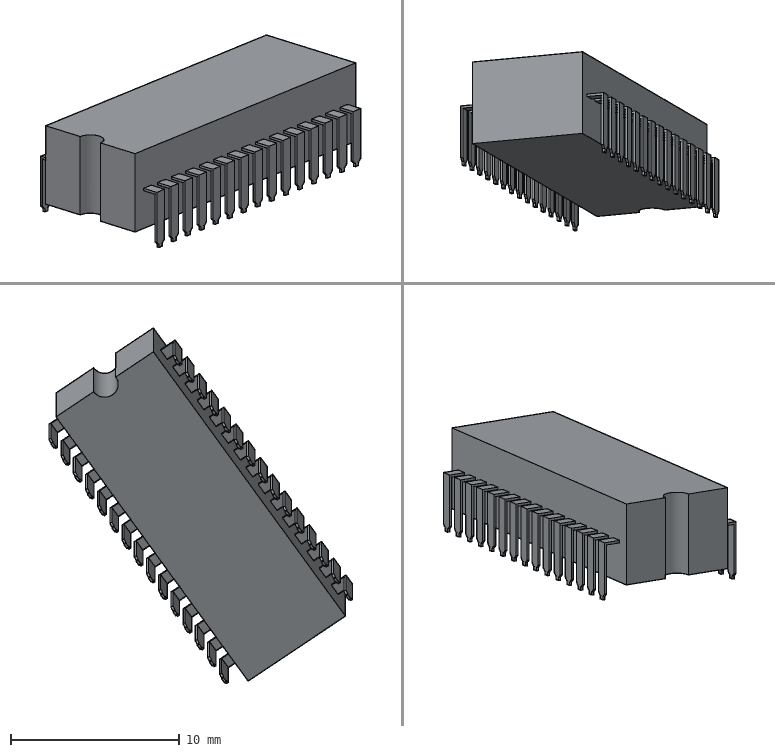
import cadquery as cq

body_width = 7.05
body_length = 20.0
body_height = 5.0
notch_radius = 0.8

leads_per_row = 15
lead_row_span = 17.78
lead_pitch = lead_row_span / (leads_per_row - 1)
lead_outer_span = 9.15
lead_width = 0.7
lead_thickness = 0.15
lead_drop = 1.0

tip_width = 0.3
tip_height = 0.2
taper_height = (lead_width - tip_width) / 2

lead_top = (body_height + lead_thickness) / 2
lead_bottom = -lead_drop
lead_face_x = lead_outer_span / 2


def make_body():
    """Rectangular body with a half-round marker notch running down its -Y end."""
    body = cq.Workplane("XY").box(
        body_width, body_length, body_height, centered=(True, True, False)
    )
    notch = (
        cq.Workplane("XY")
        .center(0, -body_length / 2)
        .circle(notch_radius)
        .extrude(body_height)
    )
    return body.cut(notch)


def make_lead():
    """One bent lead on the -X side, centred on Y = 0."""
    arm_length = (lead_outer_span - body_width) / 2
    arm = (
        cq.Workplane("XY", origin=(-lead_face_x, 0, lead_top - lead_thickness))
        .box(arm_length, lead_width, lead_thickness, centered=(False, True, False))
    )

    tip_top = lead_bottom + tip_height
    taper_top = tip_top + taper_height
    leg = (
        cq.Workplane("YZ", origin=(-lead_face_x, 0, 0))
        .moveTo(-lead_width / 2, lead_top)
        .lineTo(-lead_width / 2, taper_top)
        .lineTo(-tip_width / 2, tip_top)
        .lineTo(-tip_width / 2, lead_bottom)
        .lineTo(tip_width / 2, lead_bottom)
        .lineTo(tip_width / 2, tip_top)
        .lineTo(lead_width / 2, taper_top)
        .lineTo(lead_width / 2, lead_top)
        .close()
        .extrude(lead_thickness)
    )
    return arm.union(leg)


left_lead = make_lead()
right_lead = left_lead.mirror("YZ")

result = make_body()
for index in range(leads_per_row):
    lead_y = index * lead_pitch - lead_row_span / 2
    for lead in (left_lead, right_lead):
        result = result.union(lead.translate((0, lead_y, 0)))